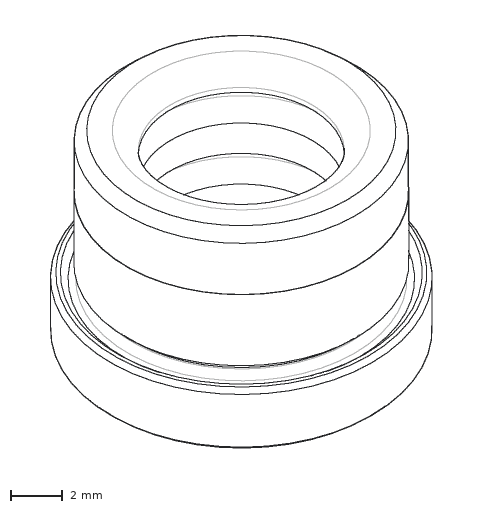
import cadquery as cq
import math

flange_radius = 7.4
height = 10.0
flange_height = 3.0
flange_chamfer = 0.2

body_radius = 6.5
body_top_chamfer = 0.49
body_bottom = 3.51
pilot_radius = 6.48
pilot_start = 7.0

neck_radius = 6.1
recess_outer_radius = 7.02
recess_depth = 0.3
root_fillet = 0.33

bore_radius = 4.0
mouth_fillet = 1.0
groove_radius = 0.75
groove_pitch = 3.0
groove_count = 3

neck_top = body_bottom - (body_radius - neck_radius)
recess_floor = flange_height - recess_depth
arc_offset = root_fillet * (1 - math.sqrt(0.5))


def outer_body():
    """Revolve the solid stepped profile, undercut included."""
    profile = (
        cq.Workplane("XZ")
        .lineTo(flange_radius - flange_chamfer, 0)
        .lineTo(flange_radius, flange_chamfer)
        .lineTo(flange_radius, flange_height - flange_chamfer)
        .lineTo(flange_radius - flange_chamfer, flange_height)
        .lineTo(recess_outer_radius, flange_height)
        .lineTo(recess_outer_radius - recess_depth, recess_floor)
        .lineTo(neck_radius + root_fillet, recess_floor)
        .threePointArc(
            (neck_radius + arc_offset, recess_floor + arc_offset),
            (neck_radius, recess_floor + root_fillet),
        )
        .lineTo(neck_radius, neck_top)
        .lineTo(body_radius, body_bottom)
        .lineTo(body_radius, pilot_start)
        .lineTo(pilot_radius, pilot_start)
        .lineTo(pilot_radius, height - body_top_chamfer)
        .lineTo(pilot_radius - body_top_chamfer, height)
        .lineTo(0, height)
        .close()
    )
    return profile.revolve(360, (0, 0, 0), (0, 1, 0))


def bore_groove(center_height):
    """Ring that cuts a semicircular groove into the bore wall."""
    return (
        cq.Workplane("XZ")
        .center(bore_radius, center_height)
        .circle(groove_radius)
        .revolve(360, (-bore_radius, 0, 0), (-bore_radius, 1, 0))
    )


result = outer_body()
result = result.cut(cq.Workplane("XY").circle(bore_radius).extrude(height))
bore_mouths = cq.selectors.RadiusNthSelector(0)
result = result.faces("<Z or >Z").edges(bore_mouths).fillet(mouth_fillet)
for index in range(groove_count):
    offset = (index - (groove_count - 1) / 2) * groove_pitch
    result = result.cut(bore_groove(height / 2 + offset))